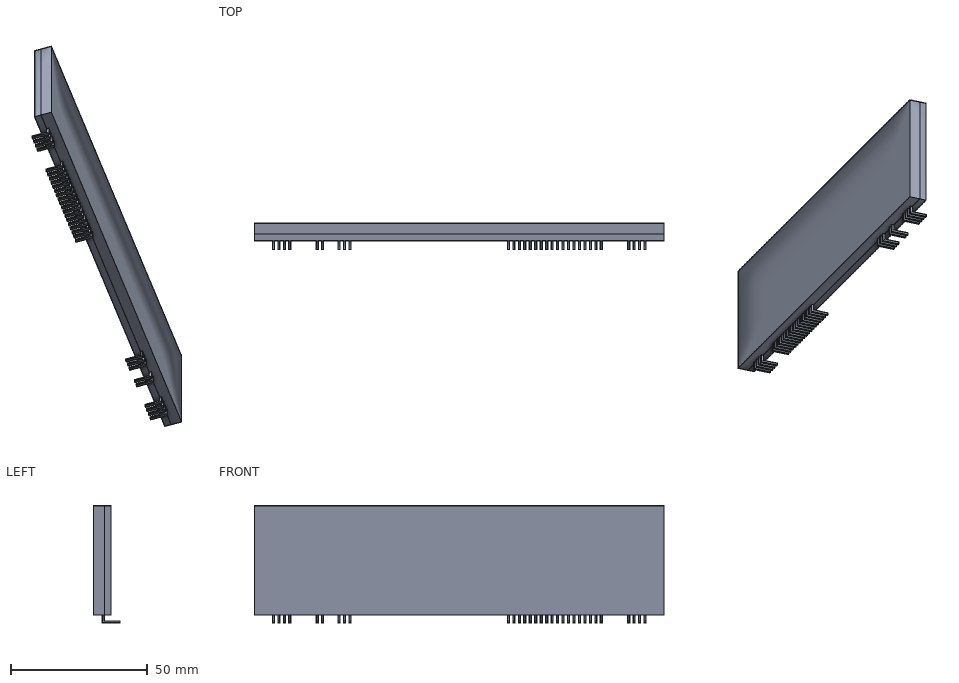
import cadquery as cq

back_width = 150.0
front_width = 149.97
plate_height = 40.0
back_thickness = 4.0
front_thickness = 2.5

pin_size = 0.8
pin_pitch = 2.0
pin_drop = 2.9
pin_reach = 6.52
pin_groups = [(0, 4), (8, 2), (12, 3), (43, 18), (65, 4)]
last_position = 68
first_pin_x = (back_width - last_position * pin_pitch) / 2


def plate(width, thickness, front_y):
    """Upright plate with its left edge at X = 0 and its bottom at Z = 0."""
    return cq.Workplane("XY").box(width, thickness, plate_height, centered=False).translate((0, front_y, 0))


def pin(center_x):
    """L-shaped pin: drops from the back plate, flush with its front face, then bends forward."""
    return (
        cq.Workplane("YZ", origin=(center_x, 0, 0))
        .moveTo(pin_size, 0)
        .lineTo(pin_size, -pin_drop)
        .lineTo(pin_size - pin_reach, -pin_drop)
        .lineTo(pin_size - pin_reach, pin_size - pin_drop)
        .lineTo(0, pin_size - pin_drop)
        .lineTo(0, 0)
        .close()
        .extrude(pin_size / 2, both=True)
    )


front_plate = plate(front_width, front_thickness, -front_thickness)

back_plate = plate(back_width, back_thickness, 0)
for first_position, pin_count in pin_groups:
    for position in range(first_position, first_position + pin_count):
        back_plate = back_plate.union(pin(first_pin_x + position * pin_pitch))

result = cq.Compound.makeCompound([front_plate.val(), back_plate.val()])